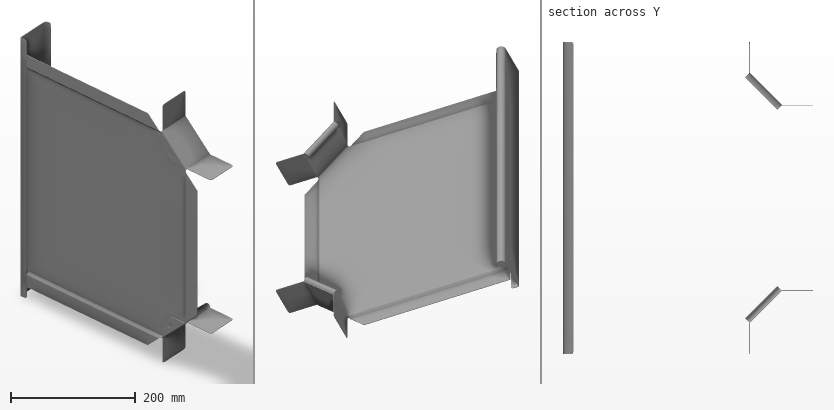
import cadquery as cq
import math

LENGTH_X = 401.0
HALF_Z = 250.0
SHEET = 1.0

FLANGE_Y = 2.75
RAIL_TOP = 66.5
BRACKET_TOP = 63.5
WING_BOTTOM = 5.5
WING_TOP = 61.0
PLATE_Y = FLANGE_Y + SHEET

BEND_RADIUS = 2.0
RAIL_HOOK_RADIUS = 7.5
RAIL_HOOK_SWEEP = 150.0
RAIL_LIP = 5.5
BRACKET_HOOK_RADIUS = 5.5
BRACKET_HOOK_SWEEP = 200.0
BRACKET_LIP = 1.0

RAIL_FLANGE = 14.0
RAIL_CHAMFER = 3.0

PLATE_HALF_Z = 196.0
PLATE_X = 347.5
PLATE_DIAGONAL = 496.5
JOGGLE_RUN = 5.0
TAB_REACH = 28.5
TAB_START_X = 16.5

WING_X = 299.5
WING_Z = 149.0
WALL_DIAGONAL = 500.5
WING_CORNER_RADIUS = 4.0
WALL_FLANGE = 2.5
FOOT_DIAGONAL = 470.5
FOOT_GAP = 1.5
SLOT_LENGTH = 14.0
SLOT_WIDTH = 7.0
SLOT_INSET = 12.0


def folded_profile(plane, flange, top, hook_radius, hook_sweep, lip):
    """Closed section of a bent sheet: flange, wall and hooked top edge.

    Local x points inward from the outer face of the wall, local y is the level.
    """
    center_y = top - hook_radius

    def on_hook(radius, sweep):
        angle = math.radians(180 - sweep)
        return (hook_radius + radius * math.cos(angle), center_y + radius * math.sin(angle))

    end_angle = math.radians(180 - hook_sweep)
    lip_x = lip * math.sin(end_angle)
    lip_y = -lip * math.cos(end_angle)
    inner_radius = hook_radius - SHEET
    outer_end = on_hook(hook_radius, hook_sweep)
    inner_end = on_hook(inner_radius, hook_sweep)
    bend_y = FLANGE_Y + BEND_RADIUS

    def on_bend(radius):
        return (BEND_RADIUS - radius * math.sqrt(0.5), bend_y - radius * math.sqrt(0.5))

    return (
        cq.Workplane(plane)
        .moveTo(flange, FLANGE_Y)
        .lineTo(BEND_RADIUS, FLANGE_Y)
        .threePointArc(on_bend(BEND_RADIUS), (0, bend_y))
        .lineTo(0, center_y)
        .threePointArc(on_hook(hook_radius, hook_sweep / 2), outer_end)
        .lineTo(outer_end[0] + lip_x, outer_end[1] + lip_y)
        .lineTo(inner_end[0] + lip_x, inner_end[1] + lip_y)
        .lineTo(*inner_end)
        .threePointArc(on_hook(inner_radius, hook_sweep / 2), (SHEET, center_y))
        .lineTo(SHEET, bend_y)
        .threePointArc(on_bend(BEND_RADIUS - SHEET), (BEND_RADIUS, PLATE_Y))
        .lineTo(flange, PLATE_Y)
        .close()
    )


def plan_sheet(points, bottom, thickness):
    """Plate with an outline of (x, z) points, from the level bottom upward."""
    plane = cq.Plane(origin=(0, bottom, 0), xDir=(1, 0, 0), normal=(0, -1, 0))
    return cq.Workplane(plane).polyline(points).close().extrude(-thickness)


def make_rail():
    profile = folded_profile(
        "XY", RAIL_FLANGE, RAIL_TOP, RAIL_HOOK_RADIUS, RAIL_HOOK_SWEEP, RAIL_LIP
    )
    rail = profile.extrude(HALF_Z, both=True)
    inward_ends = cq.selectors.BoxSelector(
        (RAIL_FLANGE - SHEET, 0, -2 * HALF_Z), (2 * RAIL_FLANGE, RAIL_TOP, 2 * HALF_Z)
    )
    corners = rail.edges(inward_ends).edges("#Z").edges(cq.selectors.LengthNthSelector(0))
    return corners.chamfer(RAIL_CHAMFER)


def stepped_tab(plane, width):
    """Sloped step down from the plate edge and the tab beyond it.

    Local x points outward from the plate edge, local y is the level.
    """
    slope_angle = math.atan2(PLATE_Y, JOGGLE_RUN)
    crease_shift = SHEET * math.tan(slope_angle / 2)
    return (
        cq.Workplane(plane)
        .moveTo(0, PLATE_Y)
        .lineTo(JOGGLE_RUN, 0)
        .lineTo(TAB_REACH, 0)
        .lineTo(TAB_REACH, SHEET)
        .lineTo(JOGGLE_RUN + crease_shift, SHEET)
        .lineTo(crease_shift, PLATE_Y + SHEET)
        .lineTo(0, PLATE_Y + SHEET)
        .close()
        .extrude(width)
    )


def make_plate():
    sheet = plan_sheet(
        [(BEND_RADIUS, -PLATE_HALF_Z), (PLATE_X, -PLATE_HALF_Z),
         (PLATE_X, PLATE_HALF_Z), (BEND_RADIUS, PLATE_HALF_Z)],
        PLATE_Y, SHEET,
    )
    top_plane = cq.Plane(origin=(PLATE_X, 0, PLATE_HALF_Z), xDir=(0, 0, 1), normal=(-1, 0, 0))
    top_tab = stepped_tab(top_plane, PLATE_X - TAB_START_X)
    right_plane = cq.Plane(origin=(PLATE_X, 0, -PLATE_HALF_Z), xDir=(1, 0, 0), normal=(0, 0, 1))
    right_tab = stepped_tab(right_plane, 2 * PLATE_HALF_Z)
    plate = sheet.union(top_tab).union(top_tab.mirror("XY")).union(right_tab)

    diagonal_outline = plan_sheet(
        [(0, -PLATE_DIAGONAL), (PLATE_DIAGONAL, 0), (0, PLATE_DIAGONAL)], 0, RAIL_TOP
    )
    return plate.intersect(diagonal_outline)


CORNER_Z = WALL_DIAGONAL - WING_X
CORNER_X = WALL_DIAGONAL - WING_Z


def make_wings():
    """Both wings and the strip of wall between them, bent from one sheet."""
    miter = SHEET * (math.sqrt(2) - 1)
    strip = plan_sheet(
        [(WING_X, HALF_Z), (WING_X, CORNER_Z), (CORNER_X, WING_Z), (LENGTH_X, WING_Z),
         (LENGTH_X, WING_Z - SHEET), (CORNER_X - miter, WING_Z - SHEET),
         (WING_X - SHEET, CORNER_Z - miter), (WING_X - SHEET, HALF_Z)],
        WING_BOTTOM, WING_TOP - WING_BOTTOM,
    )
    strip = strip.faces(">Z").edges("|X").fillet(WING_CORNER_RADIUS)
    return strip.faces(">X").edges("|Z").fillet(WING_CORNER_RADIUS)


def make_foot(wall_plane):
    """Slotted flange under the plate, inward from the diagonal wall."""
    foot_x = WING_X + FOOT_GAP
    foot_z = WING_Z + FOOT_GAP
    foot_outer = WALL_DIAGONAL - math.sqrt(2) * BEND_RADIUS
    foot = plan_sheet(
        [(foot_x, foot_outer - foot_x), (foot_x, FOOT_DIAGONAL - foot_x),
         (FOOT_DIAGONAL - foot_z, foot_z), (foot_outer - foot_z, foot_z)],
        FLANGE_Y, SHEET,
    )
    slot_center = wall_plane.toWorldCoords((SLOT_INSET, 0, 0)).toTuple()
    slot_plane = cq.Plane(origin=slot_center, xDir=(1, 0, -1), normal=(0, 1, 0))
    slot = cq.Workplane(slot_plane).slot2D(SLOT_LENGTH, SLOT_WIDTH).extrude(PLATE_Y)
    return foot.cut(slot)


def make_bracket():
    """Upper corner bracket: hooked diagonal wall, its two wings and its foot."""
    wall_plane = cq.Plane(
        origin=((WING_X + CORNER_X) / 2, 0, (CORNER_Z + WING_Z) / 2),
        xDir=(-1, 0, -1),
        normal=(1, 0, -1),
    )
    half_wall = math.hypot(CORNER_X - WING_X, CORNER_Z - WING_Z) / 2
    profile = folded_profile(
        wall_plane, WALL_FLANGE, BRACKET_TOP,
        BRACKET_HOOK_RADIUS, BRACKET_HOOK_SWEEP, BRACKET_LIP,
    )
    wall = profile.extrude(half_wall, both=True)
    return make_wings().union(wall).union(make_foot(wall_plane))


rail = make_rail()
plate = make_plate()
brackets = []
for side in (1, -1):
    bracket = make_bracket()
    if side < 0:
        bracket = bracket.mirror("XY")
    brackets.append(bracket.val())

result = cq.Compound.makeCompound([rail.val(), plate.val(), *brackets])